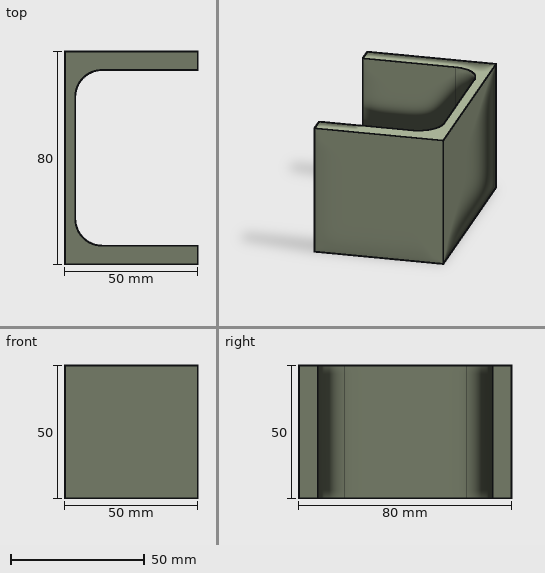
import cadquery as cq

depth = 50.0
width = 80.0
height = 50.0
web_thickness = 4.0
flange_thickness = 7.0
inner_radius = 10.0

channel_depth = depth - web_thickness
channel_width = width - 2 * flange_thickness

block = cq.Workplane("XY").box(depth, width, height)

channel = (
    cq.Workplane("XY")
    .box(channel_depth, channel_width, height)
    .edges("|Z and <X")
    .fillet(inner_radius)
    .translate((web_thickness / 2, 0, 0))
)

result = block.cut(channel)